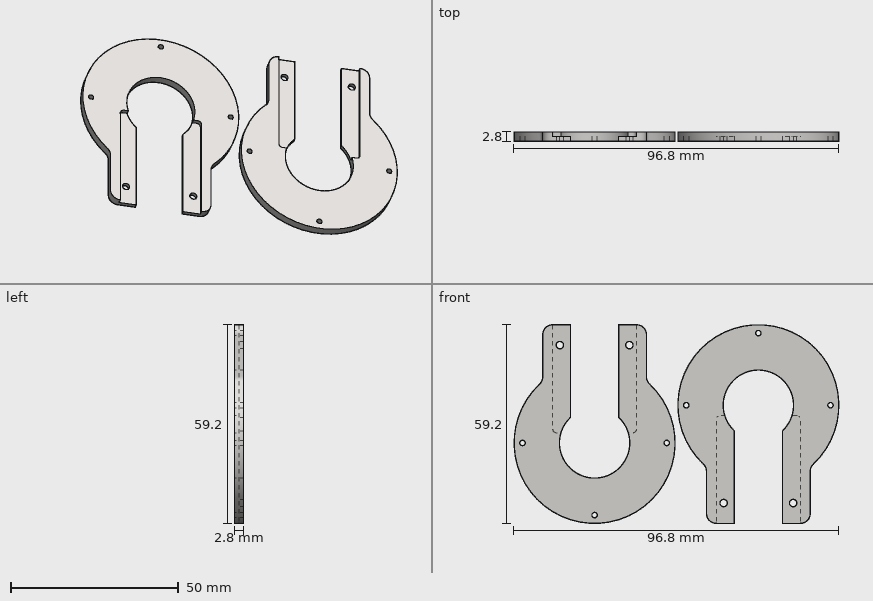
import cadquery as cq
import math

total_width = 96.8
thickness = 2.8

ring_radius = 24.0
bore_radius = 10.5

leg_half_span = 15.5
leg_top = 35.2
slot_half_width = 7.2
blend_radius = 3.0

channel_half_width = 12.5
channel_bottom = 3.0
channel_corner_radius = 1.2
web_thickness = 1.4

ring_hole_diameter = 1.55
ring_hole_radius = 21.5
leg_hole_diameter = 2.1
leg_hole_offset = 10.4
leg_hole_height = 29.1

plate_spacing = total_width - 2 * ring_radius
half_turn = 180


def extrude_back(sketch, depth):
    """Extrude a sketch on the XZ plane toward +Y."""
    return sketch.extrude(-depth)


def box_between(half_width, bottom, top, front, back):
    """Box centred on X, between the given Z and Y limits."""
    return cq.Workplane("XY").box(
        2 * half_width, back - front, top - bottom, centered=(True, False, False)
    ).translate((0, front, bottom))


def plate_blank():
    """Disc with a rounded block of legs, blended where the legs meet the disc."""
    disc = extrude_back(cq.Workplane("XZ").circle(ring_radius), thickness)
    legs = box_between(leg_half_span, 0, leg_top, 0, thickness)
    legs = legs.edges("|Y and >Z").fillet(blend_radius)
    neck_height = math.sqrt(ring_radius**2 - leg_half_span**2)
    margin = 1.0
    necks = cq.selectors.BoxSelector(
        (-leg_half_span - margin, -margin, neck_height - margin),
        (leg_half_span + margin, thickness + margin, neck_height + margin),
    )
    return disc.union(legs).edges("|Y").edges(necks).fillet(blend_radius)


def screw_holes():
    """Cutters for three holes around the ring and one in each leg."""
    ring_points = [(-ring_hole_radius, 0), (ring_hole_radius, 0), (0, -ring_hole_radius)]
    leg_points = [(side * leg_hole_offset, leg_hole_height) for side in (-1, 1)]
    ring_holes = cq.Workplane("XZ").pushPoints(ring_points).circle(ring_hole_diameter / 2)
    leg_holes = cq.Workplane("XZ").pushPoints(leg_points).circle(leg_hole_diameter / 2)
    return extrude_back(ring_holes, thickness).add(extrude_back(leg_holes, thickness))


def make_plate():
    """Keyhole-shaped plate with its legs pointing up and its front face at Y = 0."""
    bore = extrude_back(cq.Workplane("XZ").circle(bore_radius), thickness)
    slot = box_between(slot_half_width, 0, leg_top, 0, thickness)
    channel = box_between(channel_half_width, channel_bottom, leg_top, web_thickness, thickness)
    channel = channel.edges("|Y and <Z").fillet(channel_corner_radius)
    plate = plate_blank().cut(bore).cut(slot).cut(channel)
    for hole in screw_holes().solids().vals():
        plate = plate.cut(cq.Workplane(hole))
    return plate


second_plate_height = leg_top - ring_radius
placements = [
    (0, (0, 0, 0)),
    (half_turn, (plate_spacing, 0, second_plate_height)),
]
plates = []
for turn, position in placements:
    plate = make_plate().rotate((0, 0, 0), (0, 1, 0), turn).translate(position)
    plates.append(plate.val())

result = cq.Compound.makeCompound(plates)